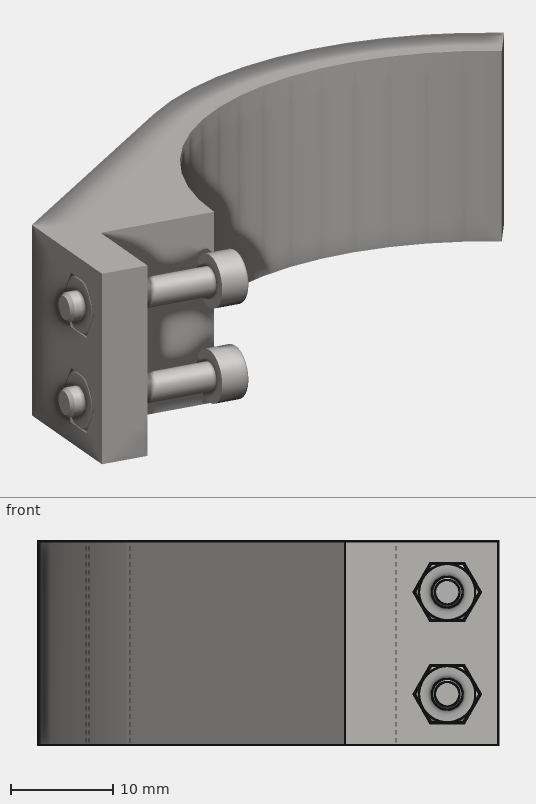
import cadquery as cq
import math

clamp_height = 20.0
bore_radius = 30.1
ring_thickness = 5.0
outer_radius = bore_radius + ring_thickness
ring_end_angle = 150.0
tab_thickness = 5.0
tab_end_x = 10.0
tab_step = 12.5
tab_inner_y = -(bore_radius + tab_step)
tab_outer_y = tab_inner_y - tab_thickness
gusset_corner_x = -5.0

screw_x = tab_end_x / 2
screw_spacing = 10.0
screw_heights = [clamp_height / 2 + side * screw_spacing / 2 for side in (-1, 1)]
screw_diameter = 3.0
screw_length = 16.0
tip_protrusion = 1.59
tip_chamfer_radial = 0.3
tip_chamfer_length = 0.4
head_diameter = 5.5
head_length = 3.0
head_edge_radius = 0.3
clearance_diameter = 3.2

nut_width = 5.5
nut_thickness = 2.4
pocket_width = 5.7
nut_chamfer_angle = 30.0

tip_y = tab_outer_y - tip_protrusion
head_seat_y = tip_y + screw_length
head_top_y = head_seat_y + head_length


def on_circle(radius, angle):
    """Point on a circle about the ring axis, angle in degrees."""
    turn = math.radians(angle)
    return (radius * math.cos(turn), radius * math.sin(turn))


def hexagon_bar(width, length, z):
    """Hexagonal bar from the outer tab face into the tab, two flats level."""
    corner_diameter = width / math.cos(math.pi / 6)
    return (
        cq.Workplane("XZ", origin=(screw_x, tab_outer_y, z))
        .polygon(6, corner_diameter)
        .extrude(-length)
    )


def round_bar(diameter, start_y, length, z):
    """Round bar along +Y, on the axis of the screw at height z."""
    return (
        cq.Workplane("XZ", origin=(screw_x, start_y, z))
        .circle(diameter / 2)
        .extrude(-length)
    )


def make_clamp():
    corner_distance = math.hypot(gusset_corner_x, tab_outer_y)
    corner_angle = math.degrees(math.atan2(tab_outer_y, gusset_corner_x)) % 360
    tangent_angle = corner_angle - math.degrees(math.acos(outer_radius / corner_distance))

    outer_middle_angle = (ring_end_angle + tangent_angle) / 2
    bore_end_angle = 270.0
    bore_middle_angle = (ring_end_angle + bore_end_angle) / 2

    body = (
        cq.Workplane("XY")
        .moveTo(*on_circle(outer_radius, ring_end_angle))
        .threePointArc(
            on_circle(outer_radius, outer_middle_angle),
            on_circle(outer_radius, tangent_angle),
        )
        .lineTo(gusset_corner_x, tab_outer_y)
        .lineTo(tab_end_x, tab_outer_y)
        .lineTo(tab_end_x, tab_inner_y)
        .lineTo(0, tab_inner_y)
        .lineTo(0, -bore_radius)
        .threePointArc(
            on_circle(bore_radius, bore_middle_angle),
            on_circle(bore_radius, ring_end_angle),
        )
        .close()
        .extrude(clamp_height)
    )
    for z in screw_heights:
        body = body.cut(round_bar(clearance_diameter, tab_outer_y, tab_thickness, z))
        body = body.cut(hexagon_bar(pocket_width, nut_thickness, z))
    return body


def make_screw(z):
    shank_radius = screw_diameter / 2
    head_radius = head_diameter / 2
    return (
        cq.Workplane("XY", origin=(screw_x, 0, z))
        .moveTo(0, tip_y)
        .lineTo(shank_radius - tip_chamfer_radial, tip_y)
        .lineTo(shank_radius, tip_y + tip_chamfer_length)
        .lineTo(shank_radius, head_seat_y)
        .lineTo(head_radius, head_seat_y)
        .lineTo(head_radius, head_top_y - head_edge_radius)
        .radiusArc((head_radius - head_edge_radius, head_top_y), -head_edge_radius)
        .lineTo(0, head_top_y)
        .close()
        .revolve(360, (0, 0), (0, 1))
    )


def make_nut(z):
    hexagon = hexagon_bar(nut_width, nut_thickness, z)
    face_radius = nut_width / 2
    cone_growth = nut_thickness / math.tan(math.radians(nut_chamfer_angle))
    corner_cone = (
        cq.Workplane("XY", origin=(screw_x, tab_outer_y, z))
        .lineTo(face_radius, 0)
        .lineTo(face_radius + cone_growth, nut_thickness)
        .lineTo(0, nut_thickness)
        .close()
        .revolve(360, (0, 0), (0, 1))
    )
    bore = round_bar(screw_diameter, tab_outer_y, nut_thickness, z)
    return hexagon.intersect(corner_cone).cut(bore)


clamp = make_clamp()
screws = [make_screw(z) for z in screw_heights]
nuts = [make_nut(z) for z in screw_heights]

result = cq.Compound.makeCompound(
    [clamp.val()] + [screw.val() for screw in screws] + [nut.val() for nut in nuts]
)